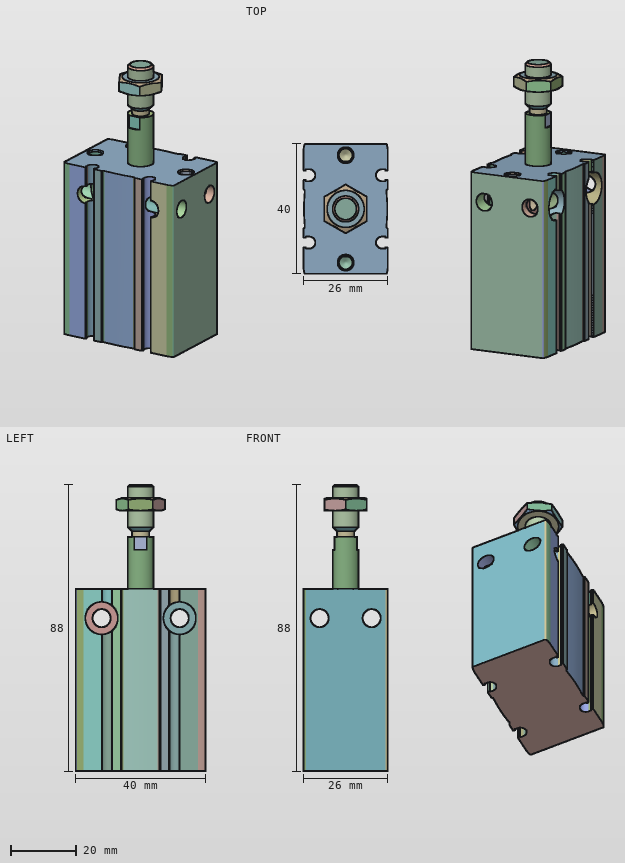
import cadquery as cq
import math

BODY_X = 26.0
BODY_Y = 40.0
BODY_Z = 56.0
TOTAL_Z = 88.0

CROWN_START_Y = 17.6
CROWN_RADIUS = 8.0
CORNER_RADIUS = 0.5

RECESS_HALF_WIDTH = 6.15
RECESS_DEPTH = 0.4
BULGE_HALF_WIDTH = 5.2
BULGE_HEIGHT = 0.25

SLOT_WIDTH = 3.6
SLOT_MOUTH_WIDTH = 2.9
SLOT_LIP_CHAMFER = 0.2
SLOT_LIP_THICKNESS = 0.75
SLOT_BOTTOM_DEPTH = 3.65
SLOT_Y = 10.35

CROSS_HOLE_DIAMETER = 5.5
CROSS_HOLE_DROP = 9.0
HOLE_ALONG_X_Y = 12.0
HOLE_ALONG_Y_X = 8.0
COUNTERBORE_DIAMETER = 10.0
COUNTERBORE_DEPTH = 8.0

TAP_DIAMETER = 4.13
TAP_MOUTH_DIAMETER = 5.0
TAP_Y = 16.5
TAP_DEPTH = 8.0
TAP_POINT_ANGLE = 118.0

ROD_DIAMETER = 8.0
SHANK_LENGTH = 16.0
ROD_SHOULDER_Z = BODY_Z + SHANK_LENGTH
ROD_SOCKET_DEPTH = 10.0
FLAT_WIDTH = 7.0
FLAT_LENGTH = 4.0
NECK_DIAMETER = 5.33
NECK_LENGTH = 1.65
TIP_DIAMETER = 6.65
TIP_CHAMFER = (ROD_DIAMETER - TIP_DIAMETER) / 2

NUT_ACROSS_FLATS = 13.0
NUT_THICKNESS = 4.0
NUT_TIP_GAP = 4.0
NUT_TOP_Z = TOTAL_Z - NUT_TIP_GAP
NUT_TOP_FACE_DIAMETER = 11.4
NUT_BOTTOM_FACE_DIAMETER = 12.6
NUT_CHAMFER_ANGLE = 20.0

HALF_X = BODY_X / 2
HALF_Y = BODY_Y / 2
CROSS_HOLE_Z = BODY_Z - CROSS_HOLE_DROP


def body_blank():
    """Rectangular block with crowned, rounded long edges."""
    crown_angle = math.asin((HALF_Y - CROWN_START_Y) / CROWN_RADIUS)

    def crown_inset(angle):
        return CROWN_RADIUS * (1 - math.cos(angle))

    end_x = HALF_X - crown_inset(crown_angle)
    mid_x = HALF_X - crown_inset(crown_angle / 2)
    mid_y = CROWN_START_Y + CROWN_RADIUS * math.sin(crown_angle / 2)
    return (
        cq.Workplane("XY")
        .moveTo(HALF_X, -CROWN_START_Y)
        .lineTo(HALF_X, CROWN_START_Y)
        .threePointArc((mid_x, mid_y), (end_x, HALF_Y))
        .lineTo(-end_x, HALF_Y)
        .threePointArc((-mid_x, mid_y), (-HALF_X, CROWN_START_Y))
        .lineTo(-HALF_X, -CROWN_START_Y)
        .threePointArc((-mid_x, -mid_y), (-end_x, -HALF_Y))
        .lineTo(end_x, -HALF_Y)
        .threePointArc((mid_x, -mid_y), (HALF_X, -CROWN_START_Y))
        .close()
        .extrude(BODY_Z)
        .edges("|Z and (>Y or <Y)")
        .fillet(CORNER_RADIUS)
    )


def side_recess(side):
    """Shallow recess with a bulged floor on the side facing side * X."""
    face_x = side * HALF_X
    floor_x = side * (HALF_X - RECESS_DEPTH)
    bulge_x = side * (HALF_X - RECESS_DEPTH + BULGE_HEIGHT)
    floor_half_width = RECESS_HALF_WIDTH - RECESS_DEPTH
    return (
        cq.Workplane("XY")
        .moveTo(face_x, RECESS_HALF_WIDTH)
        .lineTo(floor_x, floor_half_width)
        .lineTo(floor_x, BULGE_HALF_WIDTH)
        .threePointArc((bulge_x, 0), (floor_x, -BULGE_HALF_WIDTH))
        .lineTo(floor_x, -floor_half_width)
        .lineTo(face_x, -RECESS_HALF_WIDTH)
        .close()
        .extrude(BODY_Z)
    )


def sensor_slot(side, y):
    """Round-floored slot with a lipped mouth, open to the side facing side * X."""
    slot_half = SLOT_WIDTH / 2
    mouth_half = SLOT_MOUTH_WIDTH / 2
    open_half = mouth_half + SLOT_LIP_CHAMFER
    face_x = side * HALF_X
    chamfer_x = side * (HALF_X - SLOT_LIP_CHAMFER)
    lip_x = side * (HALF_X - SLOT_LIP_THICKNESS)
    round_x = side * (HALF_X - SLOT_BOTTOM_DEPTH + slot_half)
    floor_x = side * (HALF_X - SLOT_BOTTOM_DEPTH)
    return (
        cq.Workplane("XY")
        .moveTo(face_x, y + open_half)
        .lineTo(chamfer_x, y + mouth_half)
        .lineTo(lip_x, y + mouth_half)
        .lineTo(lip_x, y + slot_half)
        .lineTo(round_x, y + slot_half)
        .threePointArc((floor_x, y), (round_x, y - slot_half))
        .lineTo(lip_x, y - slot_half)
        .lineTo(lip_x, y - mouth_half)
        .lineTo(chamfer_x, y - mouth_half)
        .lineTo(face_x, y - open_half)
        .close()
        .extrude(BODY_Z)
    )


def counterbored_hole(y):
    """Hole right through along X, counterbored from the -X side."""
    side_plane = cq.Workplane("YZ", origin=(-HALF_X, y, CROSS_HOLE_Z))
    hole = side_plane.circle(CROSS_HOLE_DIAMETER / 2).extrude(BODY_X)
    return hole.union(side_plane.circle(COUNTERBORE_DIAMETER / 2).extrude(COUNTERBORE_DEPTH))


def plain_cross_hole(x):
    """Hole right through along Y."""
    return (
        cq.Workplane("XZ", origin=(x, HALF_Y, CROSS_HOLE_Z))
        .circle(CROSS_HOLE_DIAMETER / 2)
        .extrude(BODY_Y)
    )


def tapped_hole(y):
    """Blind hole in the top face with a chamfered mouth and a drill point."""
    radius = TAP_DIAMETER / 2
    mouth_radius = TAP_MOUTH_DIAMETER / 2
    point_length = radius / math.tan(math.radians(TAP_POINT_ANGLE / 2))
    return (
        cq.Workplane("XZ", origin=(0, y, BODY_Z))
        .polyline([
            (0, 0),
            (mouth_radius, 0),
            (radius, radius - mouth_radius),
            (radius, -TAP_DEPTH),
            (0, -TAP_DEPTH - point_length),
        ])
        .close()
        .revolve(360, (0, 0, 0), (0, 1, 0))
    )


def make_body():
    """Cylinder body with its slots, holes and rod socket."""
    body = body_blank()
    for side in (-1, 1):
        body = body.cut(side_recess(side))
        body = body.cut(plain_cross_hole(side * HOLE_ALONG_Y_X))
        body = body.cut(counterbored_hole(side * HOLE_ALONG_X_Y))
        body = body.cut(tapped_hole(side * TAP_Y))
        for y in (-SLOT_Y, SLOT_Y):
            body = body.cut(sensor_slot(side, y))
    socket = (
        cq.Workplane("XY", origin=(0, 0, BODY_Z - ROD_SOCKET_DEPTH))
        .circle(ROD_DIAMETER / 2)
        .extrude(ROD_SOCKET_DEPTH)
    )
    return body.cut(socket)


def make_rod():
    """Piston rod: plain shank with wrench flats, undercut neck and thread."""
    radius = ROD_DIAMETER / 2
    neck_radius = NECK_DIAMETER / 2
    neck_top = ROD_SHOULDER_Z + NECK_LENGTH
    rod = (
        cq.Workplane("XZ")
        .polyline([
            (0, BODY_Z - ROD_SOCKET_DEPTH),
            (radius, BODY_Z - ROD_SOCKET_DEPTH),
            (radius, ROD_SHOULDER_Z),
            (neck_radius, ROD_SHOULDER_Z),
            (neck_radius, neck_top),
            (radius, neck_top + radius - neck_radius),
            (radius, TOTAL_Z - TIP_CHAMFER),
            (TIP_DIAMETER / 2, TOTAL_Z),
            (0, TOTAL_Z),
        ])
        .close()
        .revolve(360, (0, 0, 0), (0, 1, 0))
    )
    for side in (-1, 1):
        flat_cutter = cq.Workplane("XY").box(ROD_DIAMETER, ROD_DIAMETER, FLAT_LENGTH).translate(
            (side * (FLAT_WIDTH + ROD_DIAMETER) / 2, 0, ROD_SHOULDER_Z - FLAT_LENGTH / 2)
        )
        rod = rod.cut(flat_cutter)
    return rod


def make_nut():
    """Hexagon nut, corners along Y, both faces chamfered at the corners."""
    corner_radius = NUT_ACROSS_FLATS / math.sqrt(3)
    top_radius = NUT_TOP_FACE_DIAMETER / 2
    bottom_radius = NUT_BOTTOM_FACE_DIAMETER / 2
    chamfer_slope = math.tan(math.radians(NUT_CHAMFER_ANGLE))
    top_drop = (corner_radius - top_radius) * chamfer_slope
    bottom_rise = (corner_radius - bottom_radius) * chamfer_slope
    bottom_z = NUT_TOP_Z - NUT_THICKNESS
    hexagon = (
        cq.Workplane("XY", origin=(0, 0, bottom_z))
        .polygon(6, 2 * corner_radius)
        .extrude(NUT_THICKNESS)
        .rotate((0, 0, 0), (0, 0, 1), 30)
    )
    chamfered_disc = (
        cq.Workplane("XZ")
        .polyline([
            (ROD_DIAMETER / 2, bottom_z),
            (bottom_radius, bottom_z),
            (corner_radius, bottom_z + bottom_rise),
            (corner_radius, NUT_TOP_Z - top_drop),
            (top_radius, NUT_TOP_Z),
            (ROD_DIAMETER / 2, NUT_TOP_Z),
        ])
        .close()
        .revolve(360, (0, 0, 0), (0, 1, 0))
    )
    return hexagon.intersect(chamfered_disc)


body = make_body()
rod = make_rod()
nut = make_nut()

result = cq.Compound.makeCompound([body.val(), rod.val(), nut.val()])